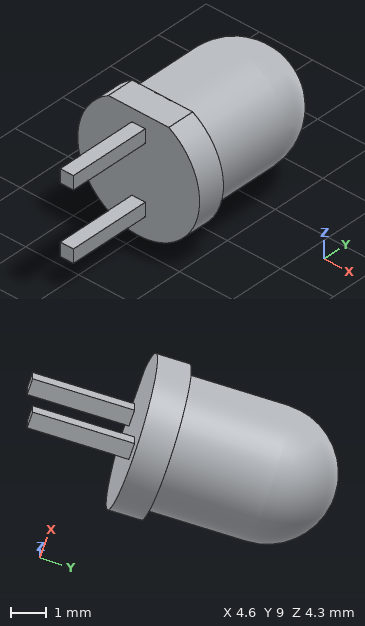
import cadquery as cq

total_length = 9.0
body_radius = 2.0
body_length = 3.0
flange_diameter = 4.6
flange_thickness = 1.0
lead_width = 0.5
lead_spacing = 2.54

flange_radius = flange_diameter / 2
dome_start = flange_thickness + body_length
dome_tip = dome_start + body_radius
lead_length = total_length - dome_tip


def make_lens():
    """Straight body and hemispherical dome, revolved about the Y axis."""
    dome_middle = body_radius * 0.5**0.5
    return (
        cq.Workplane("XY")
        .lineTo(body_radius, 0)
        .lineTo(body_radius, dome_start)
        .threePointArc((dome_middle, dome_start + dome_middle), (0, dome_tip))
        .close()
        .revolve(360, (0, 0), (0, 1))
    )


def make_flange():
    """Round flange with a flat on +Z, level with the side of the body."""
    disc = cq.Workplane("XZ").circle(flange_radius).extrude(-flange_thickness)
    beyond_flat = cq.Workplane("XY").box(
        flange_diameter, flange_diameter, flange_diameter, centered=(True, True, False)
    ).translate((0, 0, body_radius))
    return disc.cut(beyond_flat)


def make_leads():
    """Two square leads stacked along Z, pointing toward -Y."""
    return (
        cq.Workplane("XZ")
        .rarray(0.09, lead_spacing, 1, 2)
        .rect(lead_width, lead_width)
        .extrude(lead_length)
    )


result = make_lens().union(make_flange()).union(make_leads())